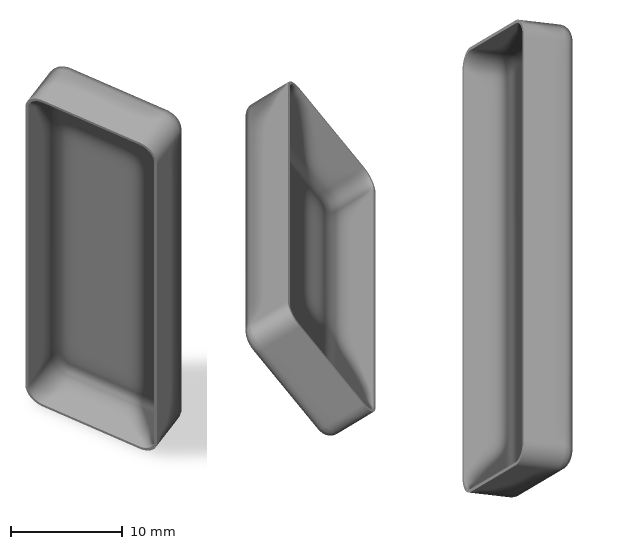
import cadquery as cq

width = 13.6
depth = 5.1
height = 41.2

wall = 0.3
corner_radius = 1.8
back_radius = 1.05
inner_corner_radius = corner_radius - wall
inner_back_radius = back_radius - wall


def rounded_block(block_width, block_depth, block_height, upright_radius, rear_radius):
    """Block from Y = 0 to +Y, rounded at its four corners and around its rear face."""
    block = cq.Workplane("XY").box(block_width, block_depth, block_height, centered=(True, False, True))
    return block.edges("|Y").fillet(upright_radius).faces(">Y").edges().fillet(rear_radius)


shell = rounded_block(width, depth, height, corner_radius, back_radius)
cavity = rounded_block(
    width - 2 * wall,
    depth - wall,
    height - 2 * wall,
    inner_corner_radius,
    inner_back_radius,
)

result = shell.cut(cavity)